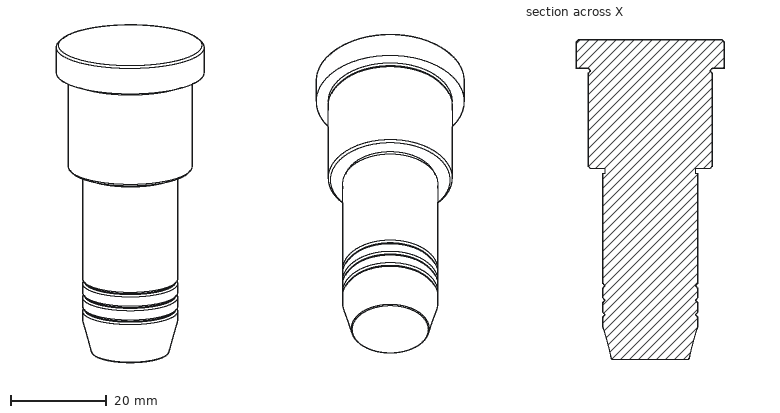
import cadquery as cq
import math

length = 67.0
head_radius = 15.51
head_height = 6.0
head_chamfer = 0.5
collar_radius = 13.0
collar_bottom = 40.0
collar_chamfer = 0.5
shank_radius = 10.0
neck_radius = 9.5
neck_height = 1.0
groove_width = 1.0
groove_depth = 0.4
groove_pitch = 3.0
lowest_groove_z = 9.45
groove_count = 3
taper_height = 7.0
taper_angle = 15.0
tip_chamfer = 0.2

head_bottom = length - head_height
shank_top = collar_bottom - neck_height
taper_slope = math.tan(math.radians(taper_angle))
tip_radius = shank_radius - (taper_height - tip_chamfer) * taper_slope


def cylinder(radius, bottom, top):
    """Solid cylinder about Z between two levels."""
    return cq.Workplane("XY").workplane(offset=bottom).circle(radius).extrude(top - bottom)


def revolved(points):
    """Solid of revolution about Z from (radius, height) points."""
    return cq.Workplane("XZ").polyline(points).close().revolve(360, (0, 0, 0), (0, 1, 0))


def ring_groove(center_z, surface_radius):
    """Ring that cuts a groove with 45 degree walls and a narrow flat floor into a cylinder."""
    half_width = groove_width / 2
    half_floor = half_width - groove_depth
    floor_radius = surface_radius - groove_depth
    return revolved([
        (surface_radius, center_z - half_width),
        (floor_radius, center_z - half_floor),
        (floor_radius, center_z + half_floor),
        (surface_radius, center_z + half_width),
    ])


head = cylinder(head_radius, head_bottom, length).faces(">Z").chamfer(head_chamfer)

collar = cylinder(collar_radius, collar_bottom, head_bottom)
collar = collar.faces("<Z").chamfer(collar_chamfer)
collar = collar.cut(ring_groove(head_bottom - groove_width / 2, collar_radius))

neck = cylinder(neck_radius, shank_top, collar_bottom)

shank = revolved([
    (0, 0),
    (tip_radius - tip_chamfer, 0),
    (tip_radius, tip_chamfer),
    (shank_radius, taper_height),
    (shank_radius, shank_top),
    (0, shank_top),
])

for index in range(groove_count):
    shank = shank.cut(ring_groove(lowest_groove_z + index * groove_pitch, shank_radius))

result = head.union(collar).union(neck).union(shank)